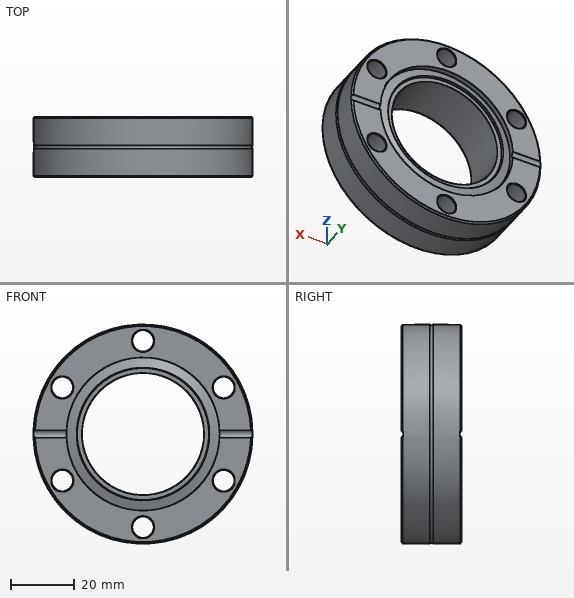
import cadquery as cq
import math

outer_diameter = 69.1
thickness = 19.1
bore_diameter = 38.4

rim_chamfer = 0.55

recess_diameter = 48.26
knife_diameter = 41.9
knife_tip_depth = 0.65
knife_slope_angle = 20
knife_inner_drop = 0.7
knife_inner_taper = 0.2

bolt_circle_diameter = 58.7
bolt_hole_diameter = 6.7
bolt_hole_count = 6
bolt_hole_chamfer = 0.2

leak_groove_width = 2.3
leak_groove_depth = 0.65
leak_groove_overlap = 0.5

rim_groove_width = 1.0
rim_groove_depth = 0.25

outer_radius = outer_diameter / 2
bore_radius = bore_diameter / 2
recess_radius = recess_diameter / 2
knife_radius = knife_diameter / 2
half_thickness = thickness / 2


def make_body():
    """Revolve the section (radius along X, axis along Y), symmetric about Y = 0."""
    tip_y = half_thickness - knife_tip_depth
    seat_y = tip_y - knife_inner_drop
    seat_radius = knife_radius - knife_inner_taper
    recess_y = tip_y - (recess_radius - knife_radius) * math.tan(math.radians(knife_slope_angle))
    rim_face_radius = outer_radius - rim_chamfer
    rim_edge_y = half_thickness - rim_chamfer
    groove_edge_y = rim_groove_width / 2
    return (
        cq.Workplane("XY")
        .moveTo(bore_radius, -seat_y)
        .lineTo(bore_radius, seat_y)
        .lineTo(seat_radius, seat_y)
        .lineTo(knife_radius, tip_y)
        .lineTo(recess_radius, recess_y)
        .lineTo(recess_radius, half_thickness)
        .lineTo(rim_face_radius, half_thickness)
        .lineTo(outer_radius, rim_edge_y)
        .lineTo(outer_radius, groove_edge_y)
        .threePointArc((outer_radius - rim_groove_depth, 0), (outer_radius, -groove_edge_y))
        .lineTo(outer_radius, -rim_edge_y)
        .lineTo(rim_face_radius, -half_thickness)
        .lineTo(recess_radius, -half_thickness)
        .lineTo(recess_radius, -recess_y)
        .lineTo(knife_radius, -tip_y)
        .lineTo(seat_radius, -seat_y)
        .close()
        .revolve(360, (0, 0, 0), (0, 1, 0))
    )


def make_bolt_hole():
    """Through hole along Y with a chamfer at both mouths."""
    radius = bolt_hole_diameter / 2
    mouth_radius = radius + bolt_hole_chamfer
    chamfer_y = half_thickness - bolt_hole_chamfer
    return (
        cq.Workplane("XY")
        .moveTo(0, -half_thickness)
        .lineTo(mouth_radius, -half_thickness)
        .lineTo(radius, -chamfer_y)
        .lineTo(radius, chamfer_y)
        .lineTo(mouth_radius, half_thickness)
        .lineTo(0, half_thickness)
        .close()
        .revolve(360, (0, 0, 0), (0, 1, 0))
    )


def cut_bolt_holes(body):
    """First hole sits on the +Z axis."""
    hole = make_bolt_hole().translate((0, 0, bolt_circle_diameter / 2))
    for index in range(bolt_hole_count):
        angle = index * 360 / bolt_hole_count
        body = body.cut(hole.rotate((0, 0, 0), (0, 1, 0), angle))
    return body


def cut_leak_grooves(body):
    """Cut grooves from the recess out to the rim, leaving the knife edge whole."""
    half_width = leak_groove_width / 2
    radius = (half_width**2 + leak_groove_depth**2) / (2 * leak_groove_depth)
    centre_y = half_thickness - leak_groove_depth + radius
    inner_end = recess_radius - leak_groove_overlap
    length = outer_radius - inner_end
    for x_start in (-outer_radius, inner_end):
        for side in (-1, 1):
            groove = (
                cq.Workplane("YZ", origin=(x_start, side * centre_y, 0))
                .circle(radius)
                .extrude(length)
            )
            body = body.cut(groove)
    return body


result = cut_leak_grooves(cut_bolt_holes(make_body()))